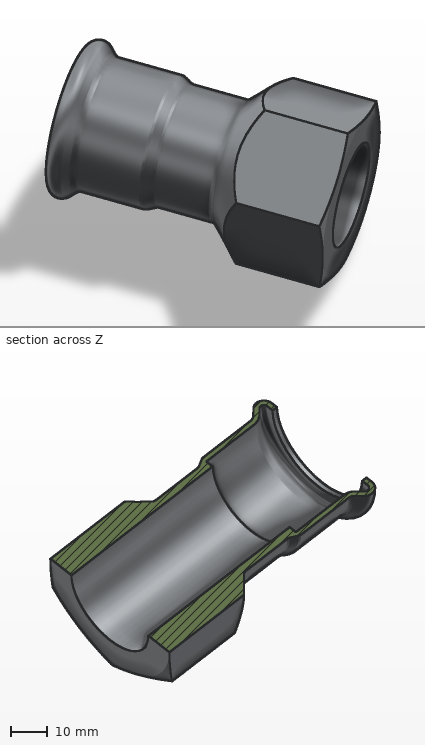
import cadquery as cq
import math

length = 81.0
hex_across_flats = 46.0
hex_across_corners = hex_across_flats / math.cos(math.pi / 6)
hex_corner_radius = hex_across_corners / 2
hex_end_chamfer = 1.0

socket_radius = 38.0 / 2
neck_radius = 34.8 / 2
step_start = 27.0
step_end = 30.0
neck_end = 46.9
step_fillet = 1.6
neck_fillet = 1.9

bead_outer_radius = 22.35
bead_round = 2.9
bead_center_radius = bead_outer_radius - bead_round
bead_fillet = 2.2

mouth_radius = 17.25
bore_radius = 14.8
socket_depth = step_start
wall = socket_radius - mouth_radius
groove_round = bead_round - wall

groove_fillet = bead_fillet + wall

select_margin = 0.1
diagonal = math.sqrt(0.5)


def tangent_offset(round_radius):
    """Axial and radial offset from a round's center to its 45 degree tangent point."""
    return round_radius * diagonal


def round_ring_edge(solid, edge_x, fillet_radius):
    """Fillet the circular edge lying in the plane X = edge_x."""
    edge = cq.selectors.BoxSelector(
        (edge_x - select_margin, -length, -length),
        (edge_x + select_margin, length, length),
        boundingbox=True,
    )
    return solid.edges(edge).fillet(fillet_radius)


def make_body():
    """Bead, socket, neck and 45 degree shoulder cone turned about the X axis."""
    bead_tangent = tangent_offset(bead_round)
    bead_cone_x = bead_round + bead_tangent
    bead_cone_radius = bead_center_radius + bead_tangent
    socket_start = bead_cone_x + bead_cone_radius - socket_radius
    cone_end = neck_end + hex_corner_radius - neck_radius
    body = (
        cq.Workplane("XY")
        .moveTo(0, 0)
        .lineTo(0, bead_center_radius)
        .threePointArc(
            (bead_round, bead_outer_radius),
            (bead_cone_x, bead_cone_radius),
        )
        .lineTo(socket_start, socket_radius)
        .lineTo(step_start, socket_radius)
        .lineTo(step_end, neck_radius)
        .lineTo(neck_end, neck_radius)
        .lineTo(cone_end, hex_corner_radius)
        .lineTo(length - hex_end_chamfer, hex_corner_radius)
        .lineTo(length, hex_across_flats / 2)
        .lineTo(length, 0)
        .close()
        .revolve(360, (0, 0, 0), (1, 0, 0))
    )
    for edge_x, fillet_radius in (
        (socket_start, bead_fillet),
        (step_start, step_fillet),
        (step_end, step_fillet),
        (neck_end, neck_fillet),
    ):
        body = round_ring_edge(body, edge_x, fillet_radius)
    return body


def make_envelope():
    """Hexagonal prism with corners on +Z and -Z, and a round clearance around the tube."""
    hexagon = (
        cq.Workplane("YZ")
        .polygon(6, hex_across_corners)
        .extrude(length)
        .rotate((0, 0, 0), (1, 0, 0), 90)
    )
    tube_clearance = cq.Workplane("YZ").circle(hex_across_flats / 2).extrude(neck_end)
    return hexagon.union(tube_clearance)


def make_cavity():
    """Socket with a seal groove under the bead, and the smaller through bore."""
    groove_tangent = tangent_offset(groove_round)
    groove_cone_x = bead_round + groove_tangent
    groove_cone_radius = bead_center_radius + groove_tangent
    groove_end = groove_cone_x + groove_cone_radius - mouth_radius
    cavity = (
        cq.Workplane("XY")
        .moveTo(0, 0)
        .lineTo(0, mouth_radius)
        .lineTo(wall, mouth_radius)
        .lineTo(wall, bead_center_radius)
        .threePointArc(
            (bead_round, bead_center_radius + groove_round),
            (groove_cone_x, groove_cone_radius),
        )
        .lineTo(groove_end, mouth_radius)
        .lineTo(socket_depth, mouth_radius)
        .lineTo(socket_depth, bore_radius)
        .lineTo(length, bore_radius)
        .lineTo(length, 0)
        .close()
        .revolve(360, (0, 0, 0), (1, 0, 0))
    )
    return round_ring_edge(cavity, groove_end, groove_fillet)


result = make_body().intersect(make_envelope()).cut(make_cavity())